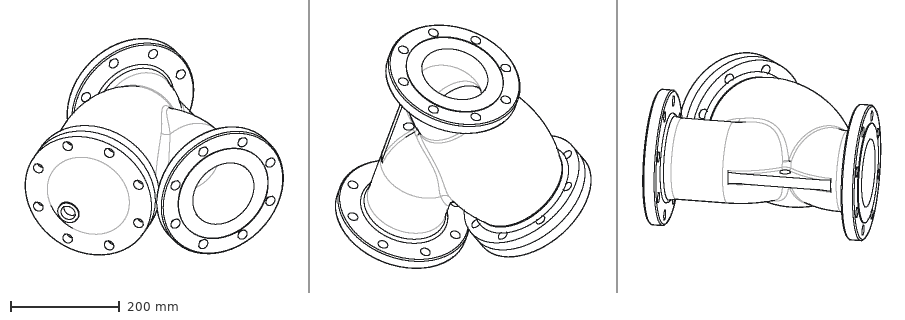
import cadquery as cq
import math


face_to_face = 400.0
pipe_radius = 75.0
bore_radius = 62.5
wall = pipe_radius - bore_radius

flange_radius = 125.03
flange_thickness = 26.3
flange_chamfer = 2.5
raised_face_radius = 92.0
raised_face_height = 1.8
hub_length = 45.0
hub_radius = 77.5
hub_fillet = 5.3

bolt_count = 8
bolt_circle_radius = 105.0
bolt_hole_radius = 9.0

branch_angle = 45
inlet_bend_radius = 63.5
outlet_bend_radius = 92.0
outlet_bend_x = 58.2
inlet_bend_x = hub_length - face_to_face / 2
inlet_bend_tangent = inlet_bend_radius * math.tan(math.radians(branch_angle / 2))

barrel_axis_x = inlet_bend_x + inlet_bend_tangent
barrel_start = inlet_bend_tangent
barrel_peak = 162.0
barrel_peak_radius = 111.2
barrel_end = 265.5
barrel_end_radius = 92.5
cavity_start = 40.7

joint_radius = 122.5
joint_thickness = 22.0
joint_fillet = 8.0
cover_face = 319.5
joint_face = cover_face - joint_thickness
joint_back = joint_face - joint_thickness

dome_radius = 79.5
dome_height = 14.5
dome_sphere_radius = (dome_radius**2 + dome_height**2) / (2 * dome_height)
boss_offset = 34.0
boss_radius = 20.0
boss_height = 15.0
drain_radius = 13.5
drain_depth = 16.0

web_thickness = 20.0
web_left = -144.5
web_right = 48.0
web_bottom = 22.0
web_rough_top = 87.5
web_hole_x = -54.0
web_hole_y = 50.0
web_hole_radius = 9.5

start_fillet = 13.0
branch_fillet = 13.0
web_fillet = 4.5

tolerance = 0.05

barrel_origin = (barrel_axis_x, 0, 0)
barrel_profile_plane = cq.Plane(barrel_origin, xDir=(1, -1, 0), normal=(0, 0, 1))
barrel_cross_plane = cq.Plane(barrel_origin, xDir=(1, 1, 0), normal=(1, -1, 0))


def turned(profile):
    """Solid of revolution about the local x axis of a closed profile."""
    return profile.close().revolve(360, (0, 0), (1, 0))


def bolt_holes(plane, length):
    """Ring of bolt-hole cylinders that straddle the centre lines."""
    return (
        cq.Workplane(plane)
        .polarArray(bolt_circle_radius, 180 / bolt_count, 360, bolt_count)
        .circle(bolt_hole_radius)
        .extrude(length)
    )


def bend(radius, bend_radius, start_x, swing):
    """Pipe bend of branch_angle from the X direction towards -Y; swing is +1 or -1."""
    return (
        cq.Workplane("YZ", origin=(start_x, 0, 0))
        .circle(radius)
        .revolve(branch_angle, (-bend_radius, 0), (-bend_radius, -swing))
    )


def inlet_bend():
    """Inlet bend, its section cut off at the bend axis, which lies inside the pipe."""
    half_chord = math.sqrt(pipe_radius**2 - inlet_bend_radius**2)
    return (
        cq.Workplane("YZ", origin=(inlet_bend_x, 0, 0))
        .moveTo(-inlet_bend_radius, -half_chord)
        .threePointArc((pipe_radius, 0), (-inlet_bend_radius, half_chord))
        .close()
        .revolve(branch_angle, (-inlet_bend_radius, 0), (-inlet_bend_radius, -1))
    )


def end_flange(side):
    """Flange with raised face and tapered hub; side is -1 for the inlet, +1 for the outlet."""
    plane = cq.Plane((side * face_to_face / 2, 0, 0), xDir=(-side, 0, 0), normal=(0, 0, 1))
    profile = (
        cq.Workplane(plane)
        .lineTo(0, raised_face_radius)
        .lineTo(raised_face_height, raised_face_radius)
        .lineTo(raised_face_height, flange_radius - flange_chamfer)
        .lineTo(raised_face_height + flange_chamfer, flange_radius)
        .lineTo(flange_thickness - flange_chamfer, flange_radius)
        .lineTo(flange_thickness, flange_radius - flange_chamfer)
        .lineTo(flange_thickness, hub_radius + hub_fillet)
        .radiusArc((flange_thickness + hub_fillet, hub_radius), hub_fillet)
        .lineTo(hub_length, pipe_radius)
        .lineTo(hub_length, 0)
    )
    holes_plane = cq.Plane((side * face_to_face / 2, 0, 0), xDir=(0, 1, 0), normal=(-side, 0, 0))
    return turned(profile).cut(bolt_holes(holes_plane, flange_thickness))


def barrel():
    """Bulging barrel with its bolting flange."""
    profile = (
        cq.Workplane(barrel_profile_plane)
        .moveTo(barrel_start, 0)
        .lineTo(barrel_start, pipe_radius)
        .threePointArc((barrel_peak, barrel_peak_radius), (barrel_end, barrel_end_radius))
        .lineTo(joint_back - joint_fillet, barrel_end_radius)
        .radiusArc((joint_back, barrel_end_radius + joint_fillet), joint_fillet)
        .lineTo(joint_back, joint_radius)
        .lineTo(joint_face, joint_radius)
        .lineTo(joint_face, 0)
    )
    return turned(profile)


def outlet_pipe():
    """Straight pipe from the outlet bend to the outlet hub."""
    length = face_to_face / 2 - hub_length - outlet_bend_x
    return cq.Workplane("YZ", origin=(outlet_bend_x, 0, 0)).circle(pipe_radius).extrude(length)


def web_slab(bottom, top, thickness):
    """Flat slab in the notch between the two bends, centred on the pipe axis plane."""
    return (
        cq.Workplane("XY", origin=(0, 0, -thickness / 2))
        .moveTo(web_left, bottom)
        .lineTo(web_right, bottom)
        .lineTo(web_right, top)
        .lineTo(web_left, top)
        .close()
        .extrude(thickness)
    )


def barrel_cavity():
    """Hollow of the barrel, open at the cover joint."""
    profile = (
        cq.Workplane(barrel_profile_plane)
        .moveTo(cavity_start, 0)
        .lineTo(cavity_start, bore_radius)
        .threePointArc((barrel_peak, barrel_peak_radius - wall), (barrel_end, barrel_end_radius - wall))
        .lineTo(joint_face, barrel_end_radius - wall)
        .lineTo(joint_face, 0)
    )
    return turned(profile)


def axial_position(point):
    """Distance along the barrel axis of a point."""
    return (point.x - barrel_axis_x - point.y) / math.sqrt(2)


def fillet_edges(shape, radius, wanted):
    """Round the edges of a shape that the wanted test picks out."""
    edges = [edge for edge in shape.edges().vals() if wanted(edge)]
    return shape.newObject(edges).fillet(radius)


def is_start_edge(edge):
    """Seam where the inlet bend meets the barrel, away from the tight inner side of the bend."""
    centre = edge.Center()
    on_seam = abs(axial_position(centre) - barrel_start) < tolerance
    return on_seam and centre.x > inlet_bend_x + tolerance


def is_branch_edge(edge):
    """Free-form seam where the outlet bend and pipe run into the barrel."""
    right_of_inlet = edge.Center().x > web_left / 2
    beyond_web = edge.BoundingBox().zlen > 1.5 * web_thickness
    return edge.geomType() == "BSPLINE" and right_of_inlet and beyond_web


def is_web_edge(edge):
    """Curved seam between a flat side of the web and the bends."""
    on_side = abs(abs(edge.Center().z) - web_thickness / 2) < tolerance
    box = edge.BoundingBox()
    return on_side and box.zlen < tolerance and edge.geomType() != "LINE"


def outer_casting():
    """Outside of the pipe run, barrel, web and end flanges, with the casting fillets."""
    casting = barrel().union(inlet_bend()).union(end_flange(-1))
    casting = fillet_edges(casting, start_fillet, is_start_edge)
    outlet = bend(pipe_radius, outlet_bend_radius, outlet_bend_x, -1).union(outlet_pipe())
    casting = casting.union(outlet).union(web_slab(web_bottom, web_rough_top, web_thickness))
    casting = fillet_edges(casting, branch_fillet, is_branch_edge)
    casting = fillet_edges(casting, web_fillet, is_web_edge)
    casting = casting.cut(web_slab(pipe_radius, web_rough_top, 2 * web_thickness))
    return casting.union(end_flange(1))


def flow_passage():
    """Bores at both ends, their bends, and the barrel cavity."""
    inlet_length = face_to_face / 2 + inlet_bend_x
    inlet = cq.Workplane("YZ", origin=(-face_to_face / 2, 0, 0)).circle(bore_radius).extrude(inlet_length)
    throat = (
        cq.Workplane(barrel_cross_plane)
        .workplane(offset=barrel_start)
        .circle(bore_radius)
        .extrude(cavity_start - barrel_start)
    )
    outlet_length = face_to_face / 2 - outlet_bend_x
    outlet = cq.Workplane("YZ", origin=(outlet_bend_x, 0, 0)).circle(bore_radius).extrude(outlet_length)
    passage = inlet.union(bend(bore_radius, inlet_bend_radius, inlet_bend_x, 1)).union(throat)
    passage = passage.union(barrel_cavity())
    return passage.union(bend(bore_radius, outlet_bend_radius, outlet_bend_x, -1)).union(outlet)


def make_body():
    """Cast housing with both end flanges and the barrel flange."""
    web_hole = (
        cq.Workplane("XY", origin=(web_hole_x, web_hole_y, -web_thickness / 2))
        .circle(web_hole_radius)
        .extrude(web_thickness)
    )
    casting = outer_casting().cut(flow_passage()).cut(web_hole)
    return casting.cut(bolt_holes(joint_plane(joint_back), joint_thickness))


def joint_plane(axial):
    """Plane across the barrel axis at an axial position."""
    return cq.Workplane(barrel_cross_plane).workplane(offset=axial).plane


def make_cover():
    """Bolted cover with a shallow dome and an off-centre drain boss."""
    profile = (
        cq.Workplane(barrel_profile_plane)
        .moveTo(joint_face, 0)
        .lineTo(joint_face, joint_radius)
        .lineTo(cover_face, joint_radius)
        .lineTo(cover_face, dome_radius)
        .radiusArc((cover_face + dome_height, 0), dome_sphere_radius)
    )
    boss = cq.Workplane(joint_plane(cover_face)).center(-boss_offset, -boss_offset)
    drain = boss.workplane(offset=boss_height).circle(drain_radius).extrude(-drain_depth)
    cover = turned(profile).union(boss.circle(boss_radius).extrude(boss_height))
    return cover.cut(drain).cut(bolt_holes(joint_plane(joint_face), joint_thickness))


body = make_body()
cover = make_cover()
result = cq.Compound.makeCompound([body.val(), cover.val()])